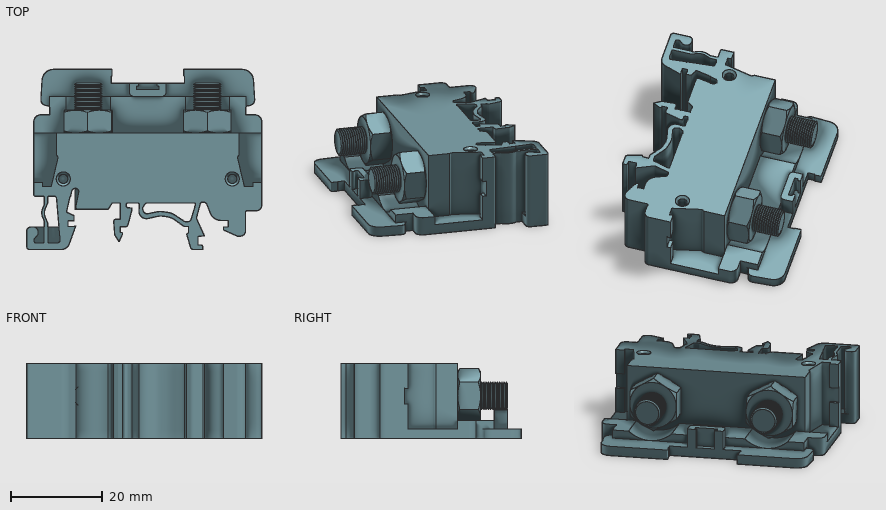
import cadquery as cq
import math

TOTAL_HEIGHT = 16.5
PLATE_TOP = 2.15
DECK_TOP = 4.0
BODY_LEFT = 1.55
BODY_RIGHT = 51.5
MID_X = (BODY_LEFT + BODY_RIGHT) / 2
BLOCK_BACK = 25.55
DECK_SHOULDER = 29.55
DECK_BACK = 33.55
STRIP_BACK = 36.45
EAR_BACK = 39.5
DECK_INSET = 3.5
RIM_Y = 11.7
BELLY_Y = 10.2

BOLT_OFFSET = 13.05
BOLT_Z = 9.35
THREAD_DIAMETER = 5.95
CORE_DIAMETER = 5.2
THREAD_RINGS = 12
NUT_ACROSS_FLATS = 10.4
NUT_THICKNESS = 5.0
LEFT_NUT_TURN = 2.0
NUT_CHAMFER_SLOPE = math.tan(math.radians(30))
GROOVE_RADIUS = BOLT_Z - PLATE_TOP

HOLE_OFFSET = 18.5
HOLE_Y = 15.5
HOLE_DIAMETER = 2.0
SINK_DIAMETER = 3.1
HOLE_DEPTH = 3.1

LEDGE_Y = 14.7
LATCH_Y = 13.85
LEDGE_WIDTH = 1.95
WINDOW_BOTTOM = 7.6
WINDOW_TOP = 11.0

RIB_FACE_X = 10.55
RIB_BACK_X = 11.85
RIB_BOTTOM = 8.05
RIB_TOP = 10.6
RIB_FRONT_Y = 8.85
RIB_BACK_Y = 13.4

HOLDER_WIDTH = 8.05
HOLDER_TOP = 6.35
HOLDER_RADIUS = 1.0


def rounded_outline(corners):
    """Closed wire through (x, y) or (x, y, radius) corners; a radius rounds that corner."""
    count = len(corners)
    path = cq.Workplane("XY")
    for i, corner in enumerate(corners):
        here = cq.Vector(corner[0], corner[1])
        radius = corner[2] if len(corner) > 2 else 0
        before = cq.Vector(*corners[i - 1][:2])
        after = cq.Vector(*corners[(i + 1) % count][:2])
        to_before = (before - here).normalized()
        to_after = (after - here).normalized()
        if radius:
            half_angle = to_before.getAngle(to_after) / 2
            setback = radius / math.tan(half_angle)
            to_center = (to_before + to_after).normalized()
            middle = here + to_center * (radius / math.sin(half_angle) - radius)
            start = here + to_before * setback
            end = here + to_after * setback
        else:
            start = here
        draw = path.lineTo if i else path.moveTo
        path = draw(start.x, start.y)
        if radius:
            path = path.threePointArc((middle.x, middle.y), (end.x, end.y))
    return path.close()


def prism(corners, bottom=0.0, top=TOTAL_HEIGHT):
    return rounded_outline(corners).extrude(top - bottom).translate((0, 0, bottom))


def mirrored(shape):
    return shape.mirror("YZ", (MID_X, 0, 0))


def both_sides(shape):
    return shape.union(mirrored(shape))


def body():
    """Full-height block with the slot beside the foot and the fixed right-hand rail jaw."""
    return prism([
        (BODY_LEFT, BLOCK_BACK),
        (BODY_LEFT, RIM_Y, 0.4),
        (9.655, RIM_Y),
        (10.015, 13.415, 0.75), (11.6, 13.415, 0.7), (10.65, RIB_FRONT_Y, 0.45),
        (17.85, RIB_FRONT_Y), (18.75, BELLY_Y), (37.6, BELLY_Y),
        (37.6, 10.35), (39.25, 10.35, 0.45),
        (40.85, 6.4, 2.6), (44.1, 6.4), (44.1, 5.0), (43.05, 5.0), (43.05, 4.35, 0.2),
        (46.15, 2.95, 1.05), (47.95, 2.95, 1.25), (47.95, 8.5, 0.2),
        (BODY_RIGHT, 8.5, 1.3),
        (BODY_RIGHT, BLOCK_BACK),
    ])


def deck():
    """Raised deck behind the block, narrower at the back."""
    left = BODY_LEFT
    right = BODY_RIGHT
    return prism([
        (left, BLOCK_BACK), (right, BLOCK_BACK),
        (right, DECK_SHOULDER, 1.6), (right - DECK_INSET, DECK_SHOULDER),
        (right - DECK_INSET, DECK_BACK), (left + DECK_INSET, DECK_BACK),
        (left + DECK_INSET, DECK_SHOULDER), (left, DECK_SHOULDER, 1.6),
    ], top=DECK_TOP)


def back_plate_ears():
    """Thin plate behind the deck: a rounded ear on each side and the strip joining them."""
    ear = prism([
        (MID_X, DECK_SHOULDER), (BODY_LEFT + DECK_INSET, DECK_SHOULDER),
        (BODY_LEFT + DECK_INSET, 31.4, 0.4), (3.05, 31.7, 1.35),
        (3.5, EAR_BACK, 2.6),
        (18.7, EAR_BACK, 0.15), (18.7, 38.1), (18.55, 37.9), (18.55, STRIP_BACK),
        (MID_X, STRIP_BACK),
    ], top=PLATE_TOP)
    return both_sides(ear)


def side_pockets():
    """Pocket at each end of the block, with a latch window through its ledge."""
    ledge_end = BODY_LEFT + LEDGE_WIDTH
    outside = BODY_LEFT - 0.5
    pocket = prism([
        (outside, BLOCK_BACK), (outside, LEDGE_Y), (ledge_end, LEDGE_Y), (ledge_end, LATCH_Y),
        (5.4, LATCH_Y, 0.15), (6.9, 20.25, 0.2), (6.55, 20.8), (6.55, BLOCK_BACK),
    ], bottom=PLATE_TOP)
    window = prism([
        (outside, LEDGE_Y), (outside, LATCH_Y), (ledge_end, LATCH_Y), (ledge_end, LEDGE_Y),
    ], bottom=WINDOW_BOTTOM, top=WINDOW_TOP)
    return both_sides(pocket.union(window))


def screw_holes():
    sink_depth = (SINK_DIAMETER - HOLE_DIAMETER) / 2
    profile = [
        (0, TOTAL_HEIGHT), (SINK_DIAMETER / 2, TOTAL_HEIGHT),
        (HOLE_DIAMETER / 2, TOTAL_HEIGHT - sink_depth),
        (HOLE_DIAMETER / 2, TOTAL_HEIGHT - HOLE_DEPTH), (0, TOTAL_HEIGHT - HOLE_DEPTH),
    ]
    hole = cq.Workplane("XZ").polyline(profile).close().revolve(360, (0, 0, 0), (0, 1, 0))
    return both_sides(hole.translate((MID_X - HOLE_OFFSET, HOLE_Y, 0)))


def slot_rib():
    """Rib with 45 degree flanks in the middle of the slot beside the foot."""
    flare = RIB_BACK_X - RIB_FACE_X
    profile = [
        (RIB_FACE_X, RIB_BOTTOM), (RIB_FACE_X, RIB_TOP),
        (RIB_BACK_X, RIB_TOP + flare), (RIB_BACK_X, RIB_BOTTOM - flare),
    ]
    rib = cq.Workplane("XZ").polyline(profile).close().extrude(RIB_FRONT_Y - RIB_BACK_Y)
    return rib.translate((0, RIB_FRONT_Y, 0))


def spring_foot():
    """Left rail foot: solid arm, curled toe and a thin bowed leaf between toe and body."""
    toe_back = 5.0
    toe_floor = 1.5
    leaf_left = 3.85
    leaf_right = 4.65
    foot = prism([
        (0, toe_back, 0.95), (0, 0, 0.7), (8.9, 0, 2.05), (10.75, 5.15), (9.05, 5.1),
        (9.05, 6.35), (10.4, 6.35), (10.4, 7.45, 0.3), (8.75, 8.25, 0.15), (9.655, RIM_Y + 0.5),
        (5.85, RIM_Y + 0.5), (5.85, RIM_Y), (6.5, RIM_Y, 0.4), (7.05, toe_back),
    ])
    toe_pocket = prism([
        (1.35, toe_back + 0.5), (1.35, toe_back), (2.5, toe_back, 1.1), (2.5, 3.4, 0.3),
        (1.6, 2.25, 0.4), (1.7, toe_floor, 0.35),
        (7.4, toe_floor, 0.6), (7.05, toe_back), (7.05, toe_back + 0.5),
    ], bottom=PLATE_TOP)
    leaf = prism([
        (leaf_left - 0.5, toe_floor - 0.5), (leaf_left - 0.5, toe_floor), (leaf_left, toe_floor, 0.25),
        (leaf_left, 6.3, 0.5), (3.05, 8.05, 2.6), (leaf_left, 9.9, 0.5),
        (leaf_left, RIM_Y, 0.25), (leaf_left - 0.5, RIM_Y), (leaf_left - 0.5, RIM_Y + 0.5),
        (leaf_right + 0.5, RIM_Y + 0.5), (leaf_right + 0.5, RIM_Y), (leaf_right, RIM_Y, 0.25),
        (leaf_right, 10.2, 0.5), (3.7, 8.05, 2.6), (leaf_right, 5.85, 0.5),
        (leaf_right, toe_floor, 0.25), (leaf_right + 0.5, toe_floor), (leaf_right + 0.5, toe_floor - 0.5),
    ])
    return foot.cut(toe_pocket).union(leaf)


def centre_hook():
    """Barbed hook hanging under the body beside the keel."""
    return prism([
        (20.45, BELLY_Y + 0.5), (20.45, 6.7), (19.0, 6.7, 0.5), (19.25, 3.25, 0.75),
        (20.25, 1.7, 0.1), (21.2, 3.8, 0.3), (20.55, 3.8), (20.55, 5.0), (22.1, 5.0, 0.7),
        (23.0, 8.5, 0.3), (23.0, 9.15, 0.1), (21.85, 9.2, 0.4), (21.85, BELLY_Y, 0.3),
        (22.65, BELLY_Y), (22.65, BELLY_Y + 0.5),
    ])


def bow_clip():
    """Arched spring from the belly to a straight arm, ending in a hooked claw."""
    clip = prism([
        (24.05, BELLY_Y + 0.5), (24.05, BELLY_Y), (24.65, BELLY_Y, 0.25),
        (24.45, 6.35, 1.65), (29.25, 7.4, 4.1), (31.65, 7.05, 4.1), (34.5, 5.05), (35.45, 5.05),
        (35.45, 3.75, 0.15), (35.0, 3.4, 0.15), (36.0, 0, 0.8), (38.55, 0, 0.15),
        (38.55, 1.05, 0.45), (37.55, 1.1), (37.55, 2.9), (38.95, 3.05), (37.2, 6.9, 0.3),
        (38.1, 10.35, 0.3), (38.6, 10.35), (38.6, BELLY_Y + 0.5),
    ])
    opening = prism([
        (26.05, BELLY_Y, 0.4), (25.35, 9.05, 0.6), (25.85, 7.8, 0.8), (29.15, 8.45, 4.1),
        (31.7, 8.1, 4.1), (34.6, 6.2, 0.25), (35.85, 6.2, 0.6), (37.05, BELLY_Y, 0.25),
    ])
    return clip.cut(opening)


def marker_holder():
    """Small boss on the back strip with an undercut slot open to the back."""
    left = MID_X - HOLDER_WIDTH / 2
    boss = prism([
        (left, STRIP_BACK), (left, DECK_BACK, HOLDER_RADIUS),
        (left + HOLDER_WIDTH, DECK_BACK, HOLDER_RADIUS), (left + HOLDER_WIDTH, STRIP_BACK),
    ], top=HOLDER_TOP)
    half_slot = prism([
        (MID_X, STRIP_BACK), (24.4, STRIP_BACK), (24.6, 35.95, 0.2), (24.05, 35.75, 0.2),
        (24.05, 35.0, 0.2), (MID_X, 35.0),
    ], bottom=PLATE_TOP, top=HOLDER_TOP)
    return boss.cut(both_sides(half_slot))


def nut_groove():
    """Round trough in the deck, concentric with the bolt and touching the back plate."""
    trough = cq.Workplane("XZ").circle(GROOVE_RADIUS).extrude(BLOCK_BACK - DECK_BACK)
    return both_sides(trough.translate((MID_X - BOLT_OFFSET, BLOCK_BACK, BOLT_Z)))


def nut():
    """Hexagon with a corner up, both ends chamfered by a 30 degree cone."""
    across_corners = NUT_ACROSS_FLATS / math.cos(math.pi / 6)
    corner_radius = across_corners / 2
    flat_radius = NUT_ACROSS_FLATS / 2
    drop = (corner_radius - flat_radius) * NUT_CHAMFER_SLOPE
    hexagon = cq.Workplane("XY").polygon(6, across_corners).extrude(NUT_THICKNESS)
    envelope = cq.Workplane("XZ").polyline([
        (0, 0), (flat_radius, 0), (corner_radius, drop), (corner_radius, NUT_THICKNESS - drop),
        (flat_radius, NUT_THICKNESS), (0, NUT_THICKNESS),
    ]).close().revolve(360, (0, 0, 0), (0, 1, 0))
    return hexagon.intersect(envelope).rotate((0, 0, 0), (0, 0, 1), 90)


def thread():
    """Bolt shank whose exposed thread is a stack of V-shaped rings."""
    length = STRIP_BACK - BLOCK_BACK
    first_ring = NUT_THICKNESS
    pitch = (length - first_ring) / THREAD_RINGS
    core = CORE_DIAMETER / 2
    crest = THREAD_DIAMETER / 2
    profile = [(0, 0), (core, 0)]
    for ring in range(THREAD_RINGS):
        root = first_ring + ring * pitch
        profile += [(core, root), (crest, root + pitch / 2)]
    profile += [(core, length), (0, length)]
    return cq.Workplane("XZ").polyline(profile).close().revolve(360, (0, 0, 0), (0, 1, 0))


def bolt_and_nut(x, turn):
    bolt = nut().rotate((0, 0, 0), (0, 0, 1), turn).union(thread())
    return bolt.rotate((0, 0, 0), (1, 0, 0), -90).translate((x, BLOCK_BACK, BOLT_Z))


housing = body().union(deck()).cut(side_pockets()).cut(screw_holes()).cut(nut_groove())
housing = housing.union(back_plate_ears()).union(marker_holder())
housing = housing.union(slot_rib()).union(spring_foot()).union(centre_hook()).union(bow_clip())
left_bolt = bolt_and_nut(MID_X - BOLT_OFFSET, -LEFT_NUT_TURN)
right_bolt = bolt_and_nut(MID_X + BOLT_OFFSET, 0)
result = housing.union(left_bolt).union(right_bolt)